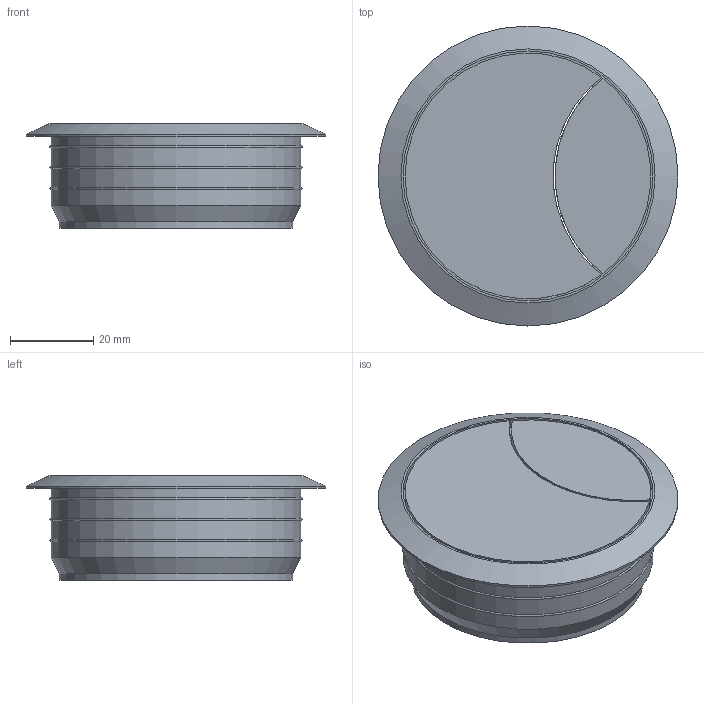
import cadquery as cq

total_height = 25.0
bore_radius = 53.0 / 2
body_radius = 60.0 / 2
foot_radius = 56.0 / 2
foot_height = 1.5
taper_top = 5.5

flange_radius = 72.0 / 2
flange_bottom = 22.0
flange_edge_height = 0.5
flange_top_radius = 30.5

rib_radius = 0.25
rib_heights = (9.5, 14.5, 19.5)

seat_radius = 30.0
lid_gap = 0.5
lid_radius = seat_radius - lid_gap
lid_thickness = 2.0
seat_floor = total_height - lid_thickness
slot_center_x = flange_radius
slot_outer_radius = 30.0
slot_width = 0.5


def disc(radius, bottom, height):
    """Solid upright disc on the Z axis."""
    return cq.Workplane("XY").workplane(offset=bottom).circle(radius).extrude(height)


def make_housing():
    """Revolved sleeve and flange, with the lid seat stepped into the bore."""
    profile = (
        cq.Workplane("XZ")
        .moveTo(bore_radius, 0)
        .lineTo(foot_radius, 0)
        .lineTo(foot_radius, foot_height)
        .lineTo(body_radius, taper_top)
        .lineTo(body_radius, flange_bottom)
        .lineTo(flange_radius, flange_bottom)
        .lineTo(flange_radius, flange_bottom + flange_edge_height)
        .lineTo(flange_top_radius, total_height)
        .lineTo(seat_radius, total_height)
        .lineTo(seat_radius, seat_floor)
        .lineTo(bore_radius, seat_floor)
        .close()
    )
    return profile.revolve(360, (0, 0, 0), (0, 1, 0))


def make_rib(height):
    """One half-round bead, rooted inside the sleeve wall."""
    root_radius = (bore_radius + foot_radius) / 2
    profile = (
        cq.Workplane("XZ")
        .moveTo(root_radius, height - rib_radius)
        .lineTo(body_radius, height - rib_radius)
        .threePointArc((body_radius + rib_radius, height), (body_radius, height + rib_radius))
        .lineTo(root_radius, height + rib_radius)
        .close()
    )
    return profile.revolve(360, (0, 0, 0), (0, 1, 0))


def make_lid():
    """Flush disc, parted by an arc-shaped slot from its removable cable cover."""
    slot = (
        cq.Workplane("XY")
        .workplane(offset=seat_floor)
        .center(slot_center_x, 0)
        .circle(slot_outer_radius)
        .circle(slot_outer_radius - slot_width)
        .extrude(lid_thickness)
    )
    return disc(lid_radius, seat_floor, lid_thickness).cut(slot)


result = make_housing()
for rib_height in rib_heights:
    result = result.union(make_rib(rib_height))
result = result.union(make_lid())